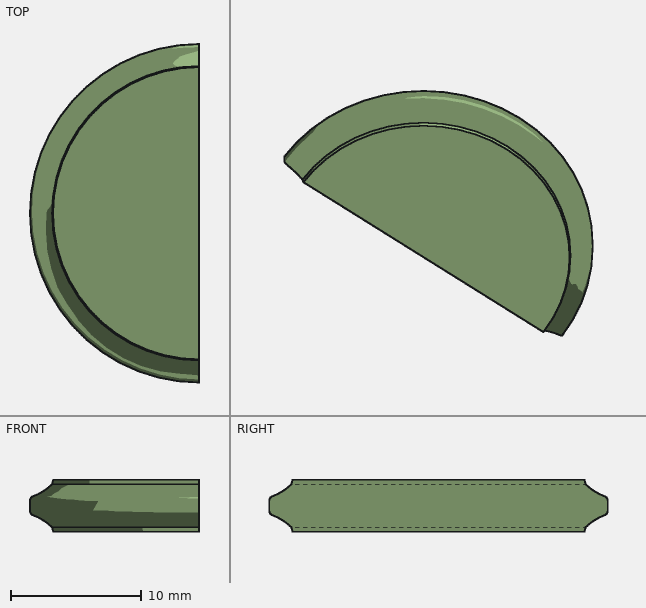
import cadquery as cq
import math

rim_radius = 13.0
thickness = 4.0
face_radius = 11.21
step_height = 0.35
step_taper = 0.09
ledge_width = 0.08
ledge_drop = 0.07
rim_band_height = 0.72
rim_round_radius = 0.41
scallop_rim_slope = math.radians(20)

half_thickness = thickness / 2
half_band = rim_band_height / 2
wall_foot_radius = face_radius + step_taper
wall_foot_z = half_thickness - step_height
scallop_top = (wall_foot_radius + ledge_width, wall_foot_z - ledge_drop)
round_sweep = math.pi / 2 - scallop_rim_slope


def rim_round_point(angle):
    """Point on the rim rounding, at an angle measured up from horizontal."""
    center_r = rim_radius - rim_round_radius
    return (
        center_r + rim_round_radius * math.cos(angle),
        half_band + rim_round_radius * math.sin(angle),
    )


def half_disc_above_midplane():
    """Revolve the moulded edge profile half a turn, on the -X side."""
    profile = (
        cq.Workplane("XZ")
        .moveTo(0, 0)
        .lineTo(rim_radius, 0)
        .lineTo(rim_radius, half_band)
        .threePointArc(rim_round_point(round_sweep / 2), rim_round_point(round_sweep))
        .tangentArcPoint(scallop_top, relative=False)
        .lineTo(wall_foot_radius, wall_foot_z)
        .lineTo(face_radius, half_thickness)
        .lineTo(0, half_thickness)
        .close()
    )
    half_turn = profile.revolve(180, (0, 0, 0), (0, 1, 0))
    return half_turn.rotate((0, 0, 0), (0, 0, 1), 90)


upper_half = half_disc_above_midplane()
lower_half = upper_half.mirror("XY")
result = upper_half.union(lower_half).clean()